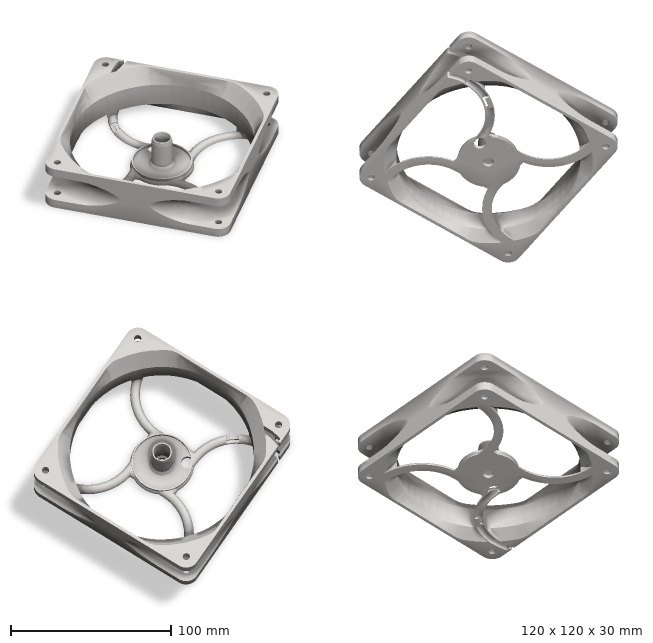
import cadquery as cq
import math

SIZE = 120.0
HEIGHT = 30.0
CORNER_RADIUS = 8.0
FLANGE = 6.0
HOLE_SPACING = 105.0
HOLE_DIAMETER = 4.5
BORE_DIAMETER = 115.0

WAIST_RADIUS = 60.8
GROOVE_RADIUS = HEIGHT / 2 - FLANGE
GROOVE_CENTRE = WAIST_RADIUS + GROOVE_RADIUS

FLARE_RADIUS = 65.0
FLARE_HALF_WIDTH = 58.0
FLARE_BLEND = 15.0
INLET_DEPTH = 10.0
OUTLET_DEPTH = 5.0

HUB_DIAMETER = 38.0
HUB_POCKET_DIAMETER = 36.5
HUB_HEIGHT = 4.4
PLATE = 2.5
POST_DIAMETER = 13.0
POST_TOP = 22.5
POST_FOOT = 1.75
POST_TAPER_HEIGHT = 2.7
POST_TIP_RADIUS = 6.1
BEARING_DIAMETER = 10.0
BEARING_MOUTH_RADIUS = 5.4
SHAFT_DIAMETER = 7.0
CABLE_HOLE_DIAMETER = 8.0
CABLE_HOLE_X = -8.9
CABLE_HOLE_Y = 13.1

STRUT_RADIUS = 3.0
STRUT_OFFSET = 14.8
STRUT_ROOT = 12.0
STRUT_ARC_RADIUS = 33.0
ANCHOR_OVERLAP = 1.0
ARC_X = -STRUT_ROOT
ARC_Y = STRUT_OFFSET + STRUT_ARC_RADIUS
RING_OUTER_RADIUS = 20.0
RING_RADIUS = RING_OUTER_RADIUS - STRUT_RADIUS

CHANNEL_RADIUS = 2.3
SLOT_HALF_WIDTH = 2.0
WINDOW_ANGLE = 37.8
WINDOW_LENGTH = 8.0
WINDOW_REACH = 3 * STRUT_RADIUS
WINDOW_FLOOR = 1.2
TAB_HEIGHT = 1.0
TAB_OPENING = 1.9
MOUTH_WIDTH = 2.0
TOOTH_DEPTH = 1.5


def cylinder(radius, bottom, top, x=0.0, y=0.0):
    return cq.Workplane("XY", origin=(x, y, bottom)).circle(radius).extrude(top - bottom)


def polar(radius, angle):
    return radius * math.cos(math.radians(angle)), radius * math.sin(math.radians(angle))


def chain(pieces):
    """Closed wire from (start, middle, end) arcs; a middle of None gives a straight edge."""
    edges = []
    for start, middle, end in pieces:
        if middle is None:
            edges.append(cq.Edge.makeLine(start, end))
        else:
            edges.append(cq.Edge.makeThreePointArc(start, middle, end))
    return cq.Wire.assembleEdges(edges)


def flare_wires(bore_z, mouth_z):
    """Bore circle and mouth outline, split at the same places."""
    blend_centre_radius = FLARE_RADIUS - FLARE_BLEND
    blend_centre_x = FLARE_HALF_WIDTH - FLARE_BLEND
    blend_end = math.degrees(math.acos(blend_centre_x / blend_centre_radius))
    blend_centre_y = blend_centre_radius * math.sin(math.radians(blend_end))
    flat_end = math.degrees(math.atan2(blend_centre_y, FLARE_HALF_WIDTH))
    bore_radius = BORE_DIAMETER / 2

    def blend_point(angle):
        x, y = polar(FLARE_BLEND, angle)
        return blend_centre_x + x, blend_centre_y + y

    def mirrored(point):
        return point[1], point[0]

    start = blend_point(0)
    middle = blend_point(blend_end / 2)
    end = blend_point(blend_end)
    quarter = [
        ((start[0], -start[1]), None, start),
        (start, middle, end),
        (end, polar(FLARE_RADIUS, 45), mirrored(end)),
        (mirrored(end), mirrored(middle), mirrored(start)),
    ]
    limits = [-flat_end, flat_end, blend_end, 90 - blend_end, 90 - flat_end]

    def place(point, turn, z):
        if point is None:
            return None
        cosine, sine = polar(1, turn)
        x, y = point
        return cq.Vector(x * cosine - y * sine, x * sine + y * cosine, z)

    bore = []
    mouth = []
    for turn in (0, 90, 180, 270):
        for piece, low, high in zip(quarter, limits, limits[1:]):
            mouth.append([place(point, turn, mouth_z) for point in piece])
            angles = (low, (low + high) / 2, high)
            bore.append([place(polar(bore_radius, angle), turn, bore_z) for angle in angles])
    return chain(bore), chain(mouth)


def flare(bore_z, mouth_z):
    bore, mouth = flare_wires(bore_z, mouth_z)
    return cq.Workplane(cq.Solid.makeLoft([bore, mouth], True))


def flare_prism():
    """Mouth outline carried through the full frame height."""
    mouth = flare_wires(HEIGHT, 0)[1]
    return cq.Workplane(cq.Solid.extrudeLinear(mouth, [], cq.Vector(0, 0, HEIGHT)))


def make_frame():
    body = cq.Workplane("XY").rect(SIZE, SIZE).extrude(HEIGHT).edges("|Z").fillet(CORNER_RADIUS)
    groove = (
        cq.Workplane("XZ")
        .moveTo(SIZE, FLANGE)
        .lineTo(GROOVE_CENTRE, FLANGE)
        .threePointArc((WAIST_RADIUS, HEIGHT / 2), (GROOVE_CENTRE, HEIGHT - FLANGE))
        .lineTo(SIZE, HEIGHT - FLANGE)
        .close()
        .revolve(360, (0, 0, 0), (0, 1, 0))
    )
    holes = (
        cq.Workplane("XY")
        .rect(HOLE_SPACING, HOLE_SPACING, forConstruction=True)
        .vertices()
        .circle(HOLE_DIAMETER / 2)
        .extrude(HEIGHT)
    )
    body = body.cut(groove).cut(holes)
    body = body.cut(cylinder(BORE_DIAMETER / 2, 0, HEIGHT))
    body = body.cut(flare(HEIGHT - INLET_DEPTH, HEIGHT))
    return body.cut(flare(OUTLET_DEPTH, 0))


def arc_band(inner_offset, outer_offset, bottom, top):
    """Flat band that follows the cable strut's arc, between two offsets from its centreline."""
    outer = cylinder(STRUT_ARC_RADIUS + outer_offset, bottom, top, ARC_X, ARC_Y)
    return outer.cut(cylinder(STRUT_ARC_RADIUS + inner_offset, bottom, top, ARC_X, ARC_Y))


def half_disc(plane, origin, radius):
    section = cq.Workplane(plane, origin=origin).moveTo(-radius, 0)
    return section.threePointArc((0, radius), (radius, 0)).close()


def half_round(radius, root_x):
    """Half-round bar on z = 0 along the cable strut: straight from root_x, then a quarter arc."""
    start = (ARC_X, STRUT_OFFSET, 0)
    axis_top = (STRUT_ARC_RADIUS, 1, 0)
    axis_bottom = (STRUT_ARC_RADIUS, 0, 0)
    arc = half_disc("YZ", start, radius).revolve(90, axis_top, axis_bottom)
    root = half_disc("YZ", start, radius).extrude(root_x - ARC_X)
    return arc.union(root)


def make_strut():
    """Cable-side strut: bar, perpendicular stub, flat pad between them, and anchor block."""
    bar = half_round(STRUT_RADIUS, 0)
    stub = half_disc("XZ", (-STRUT_OFFSET, STRUT_OFFSET, 0), STRUT_RADIUS).extrude(STRUT_OFFSET)
    pad_size = STRUT_OFFSET - STRUT_ROOT
    pad_corner = cq.Workplane("XY", origin=(-STRUT_OFFSET, STRUT_ROOT, 0))
    pad = pad_corner.rect(pad_size, pad_size, centered=False).extrude(STRUT_RADIUS)
    bar = bar.intersect(cylinder(BORE_DIAMETER / 2 + ANCHOR_OVERLAP, 0, HEIGHT))
    anchor = arc_band(-STRUT_RADIUS, STRUT_RADIUS, 0, OUTLET_DEPTH + ANCHOR_OVERLAP)
    outer_quadrant = cq.Workplane("XY").rect(-SIZE / 2, SIZE / 2, centered=False).extrude(HEIGHT)
    anchor = anchor.intersect(flare_prism()).intersect(outer_quadrant)
    anchor = anchor.cut(cylinder(BORE_DIAMETER / 2, 0, HEIGHT))
    return bar.union(stub).union(pad).union(anchor)


def make_hub():
    drum = cylinder(HUB_DIAMETER / 2, 0, HUB_HEIGHT)
    ring = cq.Workplane(cq.Solid.makeTorus(RING_RADIUS, STRUT_RADIUS))
    return drum.union(ring.intersect(cylinder(SIZE / 2, 0, HEIGHT)))


def make_post():
    radius = POST_DIAMETER / 2
    return (
        cq.Workplane("XZ")
        .moveTo(0, 0)
        .lineTo(radius + POST_FOOT, 0)
        .lineTo(radius + POST_FOOT, PLATE)
        .lineTo(radius, PLATE + POST_FOOT)
        .lineTo(radius, POST_TOP - POST_TAPER_HEIGHT)
        .lineTo(POST_TIP_RADIUS, POST_TOP)
        .lineTo(0, POST_TOP)
        .close()
        .revolve(360, (0, 0, 0), (0, 1, 0))
    )


def make_post_bore():
    return (
        cq.Workplane("XZ")
        .moveTo(0, 0)
        .lineTo(SHAFT_DIAMETER / 2, 0)
        .lineTo(SHAFT_DIAMETER / 2, PLATE)
        .lineTo(BEARING_DIAMETER / 2, PLATE)
        .lineTo(BEARING_DIAMETER / 2, POST_TOP - POST_TAPER_HEIGHT)
        .lineTo(BEARING_MOUTH_RADIUS, POST_TOP)
        .lineTo(0, POST_TOP)
        .close()
        .revolve(360, (0, 0, 0), (0, 1, 0))
    )


def make_window(bottom, top):
    """Box across the cable strut at the window."""
    x, y = polar(STRUT_ARC_RADIUS, 180 + WINDOW_ANGLE)
    box = cq.Workplane("XY").rect(WINDOW_REACH, WINDOW_LENGTH).extrude(top - bottom)
    return box.rotate((0, 0, 0), (0, 0, 1), WINDOW_ANGLE).translate((ARC_X + x, ARC_Y + y, bottom))


def make_cable_slot():
    """Slot through both flanges, outside the flare, narrowed by a tooth at its mouth."""
    tooth_y = SIZE / 2 - TOOTH_DEPTH
    corner = cq.Workplane("XY").rect(-SIZE / 2, SIZE / 2, centered=False).extrude(HEIGHT)
    beyond_tooth = corner.translate((0, tooth_y, 0))
    slot = arc_band(-SLOT_HALF_WIDTH, SLOT_HALF_WIDTH, 0, HEIGHT).intersect(corner)
    tooth = arc_band(MOUTH_WIDTH - SLOT_HALF_WIDTH, SLOT_HALF_WIDTH, 0, HEIGHT).intersect(beyond_tooth)
    return slot.cut(tooth).cut(flare_prism())


def make_cable_channel():
    """Half-round channel under the cable strut, partly closed below the window by a tab."""
    channel = half_round(CHANNEL_RADIUS, CABLE_HOLE_X)
    far_end = arc_band(-CHANNEL_RADIUS, CHANNEL_RADIUS, 0, CHANNEL_RADIUS)
    upper_end = cq.Workplane("XY", origin=(0, ARC_Y, 0)).rect(-SIZE, SIZE, centered=False).extrude(HEIGHT)
    far_end = far_end.intersect(flare_prism()).intersect(upper_end)
    tab = arc_band(TAB_OPENING - CHANNEL_RADIUS, CHANNEL_RADIUS, 0, TAB_HEIGHT)
    tab = tab.intersect(make_window(0, TAB_HEIGHT))
    return channel.union(far_end).cut(tab)


fan = make_frame()
strut = make_strut()
for turn in (0, 90, 180, 270):
    fan = fan.union(strut.rotate((0, 0, 0), (0, 0, 1), turn))
fan = fan.union(make_hub())
fan = fan.cut(cylinder(HUB_POCKET_DIAMETER / 2, PLATE, HEIGHT))
fan = fan.union(make_post()).cut(make_post_bore())

cable_hole = cylinder(CABLE_HOLE_DIAMETER / 2, 0, HEIGHT, CABLE_HOLE_X, CABLE_HOLE_Y)
fan = fan.cut(cable_hole.intersect(cylinder(HUB_POCKET_DIAMETER / 2, 0, HEIGHT)))
fan = fan.cut(make_cable_channel())
fan = fan.cut(make_window(WINDOW_FLOOR, STRUT_RADIUS))
result = fan.cut(make_cable_slot())